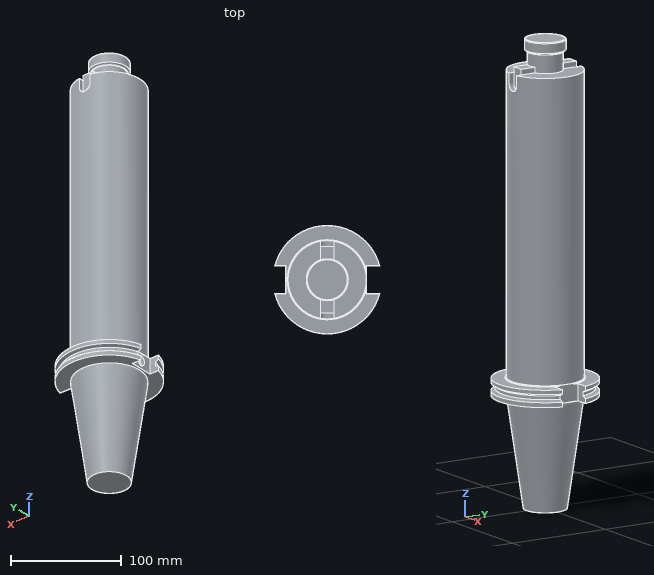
import cadquery as cq
import math

TOTAL_HEIGHT = 436.5
GAUGE_Z = 101.5
FLANGE_BOTTOM_Z = 104.8
FLANGE_TOP_Z = 121.0
SHANK_TOP_Z = 407.5

GAUGE_RADIUS = 35.0
TAPER_RATIO = 7 / 24
TAPER_END_RADIUS = GAUGE_RADIUS - GAUGE_Z * TAPER_RATIO / 2
SHANK_RADIUS = 35.5
PILOT_DIAMETER = 32.7
PILOT_RADIUS = PILOT_DIAMETER / 2

COLLAR_RADIUS = 36.2
COLLAR_HEIGHT = 1.0

FLANGE_DIAMETER = 98.2
FLANGE_RADIUS = FLANGE_DIAMETER / 2
GROOVE_Z = 113.0
GROOVE_DEPTH = 3.5
GROOVE_FLOOR_WIDTH = 3.5
GROOVE_FLANK_ANGLE = 30
GROOVE_OPENING = GROOVE_FLOOR_WIDTH + 2 * GROOVE_DEPTH * math.tan(math.radians(GROOVE_FLANK_ANGLE))

SLOT_WIDTH = 25.0
LEFT_SLOT_FLOOR = 37.5
RIGHT_SLOT_FLOOR = 35.5
SLOT_HOLE_DIAMETER = 9.0
SLOT_HOLE_DEPTH = 4.5

KEY_WIDTH = 12.2
KEY_SPAN = 60.0
KEY_OUTER_END = KEY_SPAN / 2
KEY_RISE = 5.2
POCKET_DEPTH = 15.5

HEAD_DIAMETER = 38.0
HEAD_RADIUS = HEAD_DIAMETER / 2
HEAD_BOTTOM_Z = 424.8
HEAD_TOP_CHAMFER = 1.0
HEAD_LOWER_CHAMFER = 1.7


def make_turned_body():
    """Taper, grooved flange, collar, shank and pilot in one revolved profile."""
    groove_floor_radius = FLANGE_RADIUS - GROOVE_DEPTH
    profile = [
        (0, 0),
        (TAPER_END_RADIUS, 0),
        (GAUGE_RADIUS, GAUGE_Z),
        (GAUGE_RADIUS, FLANGE_BOTTOM_Z),
        (FLANGE_RADIUS, FLANGE_BOTTOM_Z),
        (FLANGE_RADIUS, GROOVE_Z - GROOVE_OPENING / 2),
        (groove_floor_radius, GROOVE_Z - GROOVE_FLOOR_WIDTH / 2),
        (groove_floor_radius, GROOVE_Z + GROOVE_FLOOR_WIDTH / 2),
        (FLANGE_RADIUS, GROOVE_Z + GROOVE_OPENING / 2),
        (FLANGE_RADIUS, FLANGE_TOP_Z),
        (COLLAR_RADIUS, FLANGE_TOP_Z),
        (COLLAR_RADIUS, FLANGE_TOP_Z + COLLAR_HEIGHT),
        (SHANK_RADIUS, FLANGE_TOP_Z + COLLAR_HEIGHT),
        (SHANK_RADIUS, SHANK_TOP_Z),
        (PILOT_RADIUS, SHANK_TOP_Z),
        (PILOT_RADIUS, HEAD_BOTTOM_Z),
        (0, HEAD_BOTTOM_Z),
    ]
    return cq.Workplane("XZ").polyline(profile).close().revolve(360, (0, 0, 0), (0, 1, 0))


def make_drive_slot(side, floor):
    """Cutter for one flange slot, open outward on the given side of X."""
    slot_length = FLANGE_RADIUS - floor
    height = FLANGE_TOP_Z + COLLAR_HEIGHT - FLANGE_BOTTOM_Z
    return (
        cq.Workplane("XY")
        .box(slot_length, SLOT_WIDTH, height, centered=(True, True, False))
        .translate((side * (floor + slot_length / 2), 0, FLANGE_BOTTOM_Z))
    )


def make_slot_hole():
    """Cutter for the blind hole in the floor of the -X slot."""
    return (
        cq.Workplane("YZ", origin=(-LEFT_SLOT_FLOOR, 0, 0))
        .center(0, GROOVE_Z)
        .circle(SLOT_HOLE_DIAMETER / 2)
        .extrude(SLOT_HOLE_DEPTH)
    )


def make_key_pocket(side):
    """Cutter that opens the pocket outside the end of a key."""
    half_width = KEY_WIDTH / 2
    arc_center_z = SHANK_TOP_Z - POCKET_DEPTH + half_width
    length = SHANK_RADIUS - KEY_OUTER_END
    return (
        cq.Workplane("XZ", origin=(0, side * KEY_OUTER_END, 0))
        .moveTo(-half_width, SHANK_TOP_Z)
        .lineTo(-half_width, arc_center_z)
        .threePointArc((0, SHANK_TOP_Z - POCKET_DEPTH), (half_width, arc_center_z))
        .lineTo(half_width, SHANK_TOP_Z)
        .close()
        .extrude(-side * length)
    )


def make_key(side):
    """Raised part of a drive key, running from the axis through the pilot to the key end."""
    return (
        cq.Workplane("XY")
        .box(KEY_WIDTH, KEY_OUTER_END, KEY_RISE, centered=(True, True, False))
        .translate((0, side * KEY_OUTER_END / 2, SHANK_TOP_Z))
    )


def make_arbor():
    """Tool arbor with its drive slots and drive keys."""
    arbor = make_turned_body()
    arbor = arbor.cut(make_drive_slot(-1, LEFT_SLOT_FLOOR))
    arbor = arbor.cut(make_drive_slot(1, RIGHT_SLOT_FLOOR))
    arbor = arbor.cut(make_slot_hole())
    for side in (-1, 1):
        arbor = arbor.cut(make_key_pocket(side))
        arbor = arbor.union(make_key(side))
    return arbor


def make_screw_head():
    """Round screw head resting on the pilot, chamfered at both rims."""
    return (
        cq.Workplane("XY", origin=(0, 0, HEAD_BOTTOM_Z))
        .circle(HEAD_RADIUS)
        .extrude(TOTAL_HEIGHT - HEAD_BOTTOM_Z)
        .faces(">Z")
        .chamfer(HEAD_TOP_CHAMFER)
        .faces("<Z")
        .chamfer(HEAD_LOWER_CHAMFER)
    )


arbor = make_arbor()
screw_head = make_screw_head()
result = cq.Compound.makeCompound([arbor.val(), screw_head.val()])